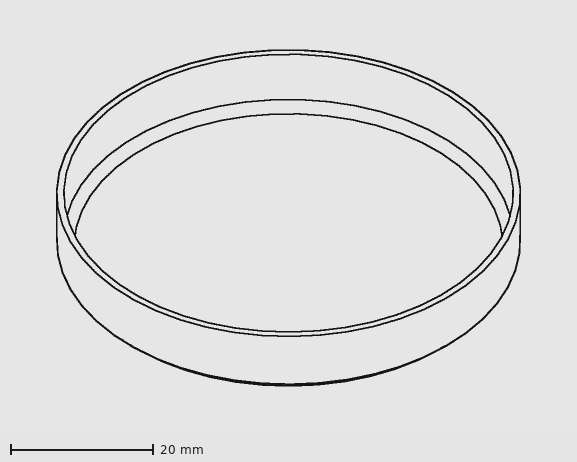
import cadquery as cq

outer_diameter = 65.1
inner_diameter = 63.1
height = 10.0
floor_thickness = 0.5
outer_bevel = 1.5
inner_bevel = 1.4

body = cq.Workplane("XY").circle(outer_diameter / 2).extrude(height)
body = body.faces("<Z").edges().chamfer(outer_bevel)

cavity = (
    cq.Workplane("XY")
    .workplane(offset=floor_thickness)
    .circle(inner_diameter / 2)
    .extrude(height - floor_thickness)
)
cavity = cavity.faces("<Z").edges().chamfer(inner_bevel)

result = body.cut(cavity)